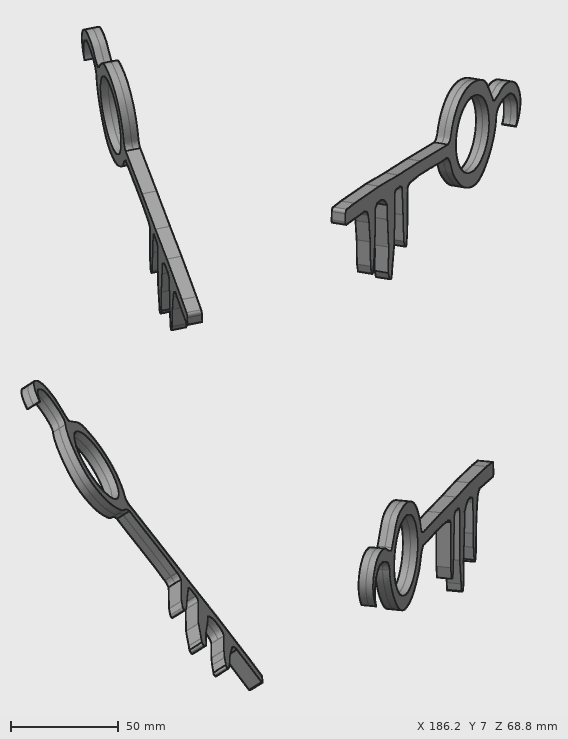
import cadquery as cq

thickness = 7.0
opening_width = 35.0
opening_height = 36.8
opening_center_z = 0.2
opening_flare = 0.5

hook_tip = (-46.2, -11.0)
hook_back = [
    (-49.7, -5.8), (-51.0, 0.0), (-49.1, 6.5), (-43.4, 12.1), (-36.3, 13.5),
    (-32.8, 13.2), (-28.1, 11.2), (-24.0, 9.5),
]
hook_notch_middle = (-22.9, 9.3)
ring_top_start = (-21.5, 10.5)
ring_top = [
    (-18.0, 16.0), (-12.3, 22.5), (-6.5, 24.5), (0.0, 25.3), (7.0, 24.2),
    (12.8, 21.4), (19.5, 14.3), (22.5, 8.2), (23.6, 5.2),
]
shaft_top_start = (26.2, 3.3)
shaft_top = [(54.9, 4.5), (78.3, 5.0), (98.6, 6.0), (124.9, 6.0), (133.0, 5.5)]
shaft_end_top = (134.7, 4.0)
shaft_end_top_middle = (134.4, 5.0)
shaft_end_bottom = (135.1, 0.0)
shaft_end_bottom_middle = (135.0, -1.1)
shaft_end_corner = (134.2, -1.9)
shaft_bottom_end = (114.0, -1.5)
right_tooth_fillet_middle = (112.0, -2.6)

right_tooth = {
    "right_root": (110.7, -4.5),
    "right": [(109.8, -8.4), (108.5, -18.2), (108.1, -30.3), (107.2, -33.9)],
    "tip": (106.3, -34.8),
    "left": [(105.1, -33.5), (104.0, -27.0), (103.5, -20.1), (103.3, -5.0)],
}
middle_tooth = {
    "right_root": (90.6, -6.0),
    "right": [(90.3, -13.0), (89.0, -27.0), (89.3, -39.6), (88.2, -42.6)],
    "tip": (86.7, -43.5),
    "left": [(85.6, -42.8), (85.0, -39.0), (82.8, -27.0), (82.6, -3.5)],
}
left_tooth = {
    "right_root": (74.6, -3.5),
    "right": [(73.7, -16.0), (73.0, -29.2), (71.8, -32.2)],
    "tip": (71.0, -32.5),
    "left": [(70.0, -31.8), (69.0, -26.5), (68.7, -4.5)],
}
right_gap = [(102.7, -3.2), (100.9, -1.9), (98.5, -1.5), (95.8, -1.7), (92.9, -3.3)]
left_gap_right = (80.5, -1.3)
left_gap_right_middle = (82.0, -2.0)
left_gap_left = (76.5, -1.3)
left_gap_left_middle = (75.2, -2.0)

left_tooth_fillet = [(67.7, -3.3), (65.3, -2.6)]
shaft_bottom = [(54.9, -2.0), (41.0, -2.6), (26.8, -3.0)]
ring_bottom = [
    (24.2, -5.5), (21.0, -12.3), (17.5, -16.5), (11.7, -21.5), (4.1, -25.0),
    (-5.2, -25.1), (-9.9, -23.0), (-16.4, -17.5), (-20.5, -12.3), (-24.0, -5.2),
]
hook_inside_start = (-25.3, 0.5)
hook_inside = [
    (-26.6, 3.5), (-29.8, 5.8), (-36.8, 7.5), (-41.0, 7.0), (-45.5, 3.5),
    (-47.3, 0.0), (-47.6, -4.1), (-46.9, -8.7), (-45.8, -10.5),
]


def add_lines(path, points):
    for point in points:
        path = path.lineTo(*point)
    return path


def add_curve(path, points):
    return path.spline(points, includeCurrent=True)


def add_tooth(path, tooth):
    """Follow a tooth on from its right root to its left root, with a round tip."""
    path = add_lines(path, tooth["right"])
    path = path.threePointArc(tooth["tip"], tooth["left"][0])
    return add_lines(path, tooth["left"][1:])


def key_outline():
    path = cq.Workplane("XZ").moveTo(*hook_tip)
    path = add_curve(path, hook_back)
    path = path.threePointArc(hook_notch_middle, ring_top_start)
    path = add_curve(path, ring_top + [shaft_top_start])
    path = add_lines(path, shaft_top)
    path = path.threePointArc(shaft_end_top_middle, shaft_end_top)
    path = path.lineTo(*shaft_end_bottom)
    path = path.threePointArc(shaft_end_bottom_middle, shaft_end_corner)
    path = path.lineTo(*shaft_bottom_end)
    path = path.threePointArc(right_tooth_fillet_middle, right_tooth["right_root"])
    path = add_tooth(path, right_tooth)
    path = add_curve(path, right_gap + [middle_tooth["right_root"]])
    path = add_tooth(path, middle_tooth)
    path = path.threePointArc(left_gap_right_middle, left_gap_right)
    path = path.lineTo(*left_gap_left)
    path = path.threePointArc(left_gap_left_middle, left_tooth["right_root"])
    path = add_tooth(path, left_tooth)
    path = add_curve(path, left_tooth_fillet)
    path = add_curve(path, shaft_bottom)
    path = add_curve(path, ring_bottom + [hook_inside_start])
    path = add_curve(path, hook_inside)
    return path.close()


def opening_cutter():
    """Straight oval through the back half, widening evenly toward the front face."""
    half_width = opening_width / 2
    half_height = opening_height / 2
    middle = cq.Workplane("XZ").center(0, opening_center_z)
    back = middle.ellipse(half_width, half_height).extrude(-thickness / 2)
    front = (
        middle.ellipse(half_width, half_height)
        .workplane(offset=thickness / 2)
        .ellipse(half_width + opening_flare, half_height + opening_flare)
        .loft()
    )
    return back.union(front)


plate = key_outline().extrude(thickness / 2, both=True)
result = plate.cut(opening_cutter())